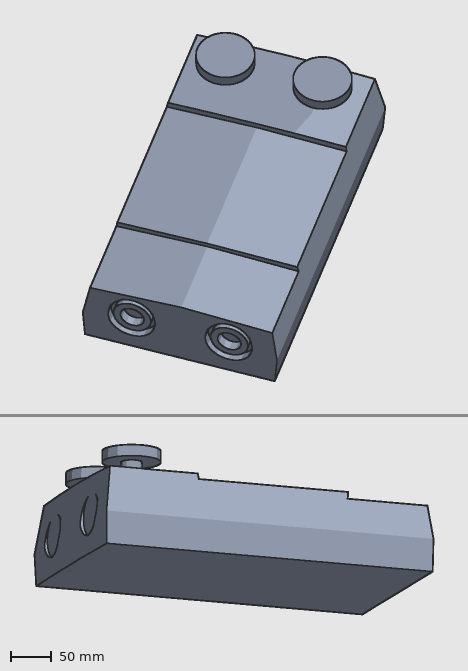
import cadquery as cq
import math

WIDTH = 250.0
LENGTH = 429.43
HEIGHT = 133.5
REAR_BOW = 1.8
HALF_WIDTH = WIDTH / 2

PARTING_Z = 40.5
TRAY_SIDE_DRAFT = 4.0
TRAY_FRONT_DRAFT = 0.0
TRAY_REAR_DRAFT = 1.7

COVER_SIDE_DRAFT = 10.1
COVER_FRONT_DRAFT = 6.8
COVER_REAR_DRAFT = 8.2
FRONT_ROOF = (88.6, 83.7)
MIDDLE_ROOF = (95.2, 92.6)
REAR_ROOF = (101.3, 99.8)

FRONT_SEAM_Y = 114.4
FRONT_SEAM_DRAFT = 6.8
REAR_SEAM_Y = 297.0
REAR_SEAM_DRAFT = 7.0

PAIR_X = 62.5
KNOB_Y = 371.5
KNOB_RADIUS = 36.0
KNOB_THICKNESS = 14.0
STEM_RADIUS = 13.0

PORT_Z = 50.0
PORT_RADIUS = 30.0
PORT_DEPTH = 12.0
PLUG_RADIUS = 24.0
PLUG_FACE_Y = 3.5
SOCKET_RADIUS = 15.0
SOCKET_DEPTH = 13.0
REAR_PORT_RADIUS = 26.5
REAR_PORT_DEPTH = 5.2


def run(height, degrees):
    """Horizontal shift of a wall that rises by height at an angle from vertical."""
    return height * math.tan(math.radians(degrees))


def tapered_body(z_end, side_draft, front_draft, rear_draft):
    """Body between the parting plane and z_end, drawn in by the wall drafts."""
    rise = abs(z_end - PARTING_Z)

    def add_outline(plane, height):
        x = HALF_WIDTH - run(height, side_draft)
        y_front = run(height, front_draft)
        y_rear = LENGTH - run(height, rear_draft)
        y_corner = y_rear - REAR_BOW
        return (
            plane.moveTo(-x, y_front)
            .lineTo(x, y_front)
            .lineTo(x, y_corner)
            .threePointArc((0, y_rear), (-x, y_corner))
            .close()
        )

    lower_outline = add_outline(cq.Workplane("XY", origin=(0, 0, PARTING_Z)), 0)
    upper_plane = lower_outline.workplane(offset=z_end - PARTING_Z)
    return add_outline(upper_plane, rise).loft(ruled=True)


def side_wall_x(z):
    """Half width of the cover at height z."""
    return HALF_WIDTH - run(z - PARTING_Z, COVER_SIDE_DRAFT)


def gabled_prism(roof):
    """Prism along Y whose top is a shallow gable with its ridge on X = 0."""
    ridge_z, eave_z = roof
    eave_x = side_wall_x(eave_z)
    outer_z = ridge_z - (ridge_z - eave_z) * HALF_WIDTH / eave_x
    profile = [
        (-HALF_WIDTH, PARTING_Z),
        (HALF_WIDTH, PARTING_Z),
        (HALF_WIDTH, outer_z),
        (0, ridge_z),
        (-HALF_WIDTH, outer_z),
    ]
    return cq.Workplane("XZ").polyline(profile).close().extrude(-LENGTH)


def arched_prism(roof):
    """Prism along Y whose top is a shallow arch with its crown on X = 0."""
    crown_z, eave_z = roof
    eave_x = side_wall_x(eave_z)
    return (
        cq.Workplane("XZ")
        .moveTo(-HALF_WIDTH, PARTING_Z)
        .lineTo(HALF_WIDTH, PARTING_Z)
        .lineTo(eave_x, eave_z)
        .threePointArc((0, crown_z), (-eave_x, eave_z))
        .close()
        .extrude(-LENGTH)
    )


def cover_span(front_low, front_high, rear_low, rear_high):
    """Full-width slab between two walls, given their Y at the parting plane and at the rear crown."""
    top_z = REAR_ROOF[0]
    profile = [
        (front_low, PARTING_Z),
        (rear_low, PARTING_Z),
        (rear_high, top_z),
        (front_high, top_z),
    ]
    return cq.Workplane("YZ").polyline(profile).close().extrude(HALF_WIDTH, both=True)


def housing():
    """Tray with the three stepped cover sections on top."""
    rise = REAR_ROOF[0] - PARTING_Z
    front_seam = (FRONT_SEAM_Y, FRONT_SEAM_Y - run(rise, FRONT_SEAM_DRAFT))
    rear_seam = (REAR_SEAM_Y, REAR_SEAM_Y + run(rise, REAR_SEAM_DRAFT))
    sections = [
        (gabled_prism(FRONT_ROOF), cover_span(0, 0, *front_seam)),
        (gabled_prism(MIDDLE_ROOF), cover_span(*front_seam, *rear_seam)),
        (arched_prism(REAR_ROOF), cover_span(*rear_seam, LENGTH, LENGTH)),
    ]
    cover = tapered_body(REAR_ROOF[0], COVER_SIDE_DRAFT, COVER_FRONT_DRAFT, COVER_REAR_DRAFT)
    body = tapered_body(0, TRAY_SIDE_DRAFT, TRAY_FRONT_DRAFT, TRAY_REAR_DRAFT)
    for roof_prism, span in sections:
        section = cover.intersect(roof_prism).intersect(span)
        body = body.union(section, clean=False)
    return body


def y_cylinder(x, y, radius, length):
    """Cylinder at port height running from y towards +Y."""
    return cq.Workplane("XZ", origin=(x, y, PORT_Z)).circle(radius).extrude(-length)


def add_front_port(body, x):
    """Round recess holding a plug with a blind socket."""
    plug_length = PORT_DEPTH - PLUG_FACE_Y
    body = body.cut(y_cylinder(x, 0, PORT_RADIUS, PORT_DEPTH), clean=False)
    body = body.union(y_cylinder(x, PLUG_FACE_Y, PLUG_RADIUS, plug_length), clean=False)
    return body.cut(y_cylinder(x, PLUG_FACE_Y, SOCKET_RADIUS, SOCKET_DEPTH), clean=False)


def cut_rear_port(body, x):
    """Plain round recess in the rear wall."""
    floor_y = LENGTH - REAR_PORT_DEPTH
    return body.cut(y_cylinder(x, floor_y, REAR_PORT_RADIUS, REAR_PORT_DEPTH), clean=False)


def add_knob(body, x):
    """Flat disc on a stem that is rooted in the rear cover section."""
    stem_length = HEIGHT - PARTING_Z
    stem = cq.Workplane("XY", origin=(x, KNOB_Y, PARTING_Z)).circle(STEM_RADIUS).extrude(stem_length)
    disc_z = HEIGHT - KNOB_THICKNESS
    disc = cq.Workplane("XY", origin=(x, KNOB_Y, disc_z)).circle(KNOB_RADIUS).extrude(KNOB_THICKNESS)
    return body.union(stem.union(disc), clean=False)


result = housing()
for pair_x in (-PAIR_X, PAIR_X):
    result = add_front_port(result, pair_x)
    result = cut_rear_port(result, pair_x)
    result = add_knob(result, pair_x)